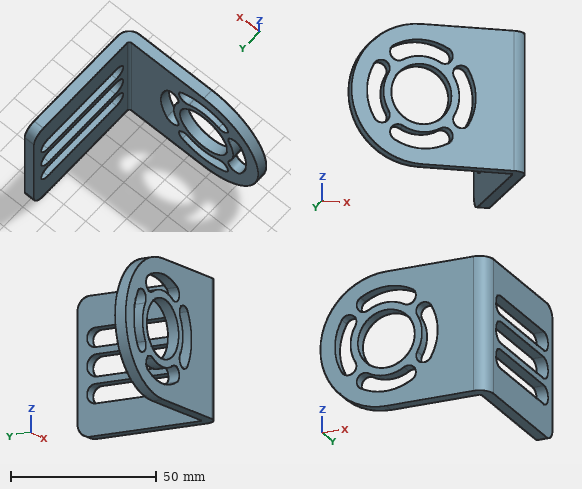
import cadquery as cq
import math

LENGTH = 63.2
DEPTH = 54.2
HEIGHT = 50.0

THICKNESS = 4.3
INNER_BEND_RADIUS = 0.95
OUTER_BEND_RADIUS = INNER_BEND_RADIUS + THICKNESS
FLANGE_CORNER_RADIUS = 5.0

PLATE_END_RADIUS = HEIGHT / 2
BORE_DIAMETER = 21.5
CURVED_SLOT_COUNT = 4
CURVED_SLOT_PATH_RADIUS = 16.5
CURVED_SLOT_WIDTH = 5.9
CURVED_SLOT_HALF_ANGLE = 30.0

FLANGE_SLOT_LENGTH = 43.0
FLANGE_SLOT_END_MARGIN = 3.85
FLANGE_SLOT_PITCH = 10.0
MIDDLE_SLOT_WIDTH = 7.95
OUTER_SLOT_WIDTH = 6.95

FLANGE_OUTER_X = LENGTH - PLATE_END_RADIUS
FLANGE_INNER_X = FLANGE_OUTER_X - THICKNESS


def bent_sheet():
    """L-shaped strip with a rounded bend, extruded over the full height."""
    strip = (
        cq.Workplane("XY")
        .workplane(offset=-HEIGHT / 2)
        .moveTo(-PLATE_END_RADIUS, 0)
        .lineTo(FLANGE_OUTER_X - OUTER_BEND_RADIUS, 0)
        .radiusArc((FLANGE_OUTER_X, OUTER_BEND_RADIUS), -OUTER_BEND_RADIUS)
        .lineTo(FLANGE_OUTER_X, DEPTH)
        .lineTo(FLANGE_INNER_X, DEPTH)
        .lineTo(FLANGE_INNER_X, OUTER_BEND_RADIUS)
        .radiusArc((FLANGE_INNER_X - INNER_BEND_RADIUS, THICKNESS), INNER_BEND_RADIUS)
        .lineTo(-PLATE_END_RADIUS, THICKNESS)
        .close()
        .extrude(HEIGHT)
    )
    return strip.edges("|X and >Y").fillet(FLANGE_CORNER_RADIUS)


def plate_silhouette():
    """Full-depth block whose -X end is the half round of the face plate."""
    return (
        cq.Workplane("XZ")
        .moveTo(0, HEIGHT / 2)
        .lineTo(FLANGE_OUTER_X, HEIGHT / 2)
        .lineTo(FLANGE_OUTER_X, -HEIGHT / 2)
        .lineTo(0, -HEIGHT / 2)
        .threePointArc((-PLATE_END_RADIUS, 0), (0, HEIGHT / 2))
        .close()
        .extrude(-DEPTH)
    )


def polar_point(radius, angle):
    """Point at an angle in degrees around the bore axis."""
    return (radius * math.cos(math.radians(angle)), radius * math.sin(math.radians(angle)))


def curved_slot(middle_angle):
    """Cutter for one round-ended slot that follows a circle around the bore."""
    inner_radius = CURVED_SLOT_PATH_RADIUS - CURVED_SLOT_WIDTH / 2
    outer_radius = CURVED_SLOT_PATH_RADIUS + CURVED_SLOT_WIDTH / 2
    start = middle_angle - CURVED_SLOT_HALF_ANGLE
    end = middle_angle + CURVED_SLOT_HALF_ANGLE
    tip_radius = math.hypot(CURVED_SLOT_PATH_RADIUS, CURVED_SLOT_WIDTH / 2)
    tip_angle = math.degrees(math.atan2(CURVED_SLOT_WIDTH / 2, CURVED_SLOT_PATH_RADIUS))
    return (
        cq.Workplane("XZ")
        .moveTo(*polar_point(outer_radius, start))
        .threePointArc(polar_point(outer_radius, middle_angle), polar_point(outer_radius, end))
        .threePointArc(polar_point(tip_radius, end + tip_angle), polar_point(inner_radius, end))
        .threePointArc(polar_point(inner_radius, middle_angle), polar_point(inner_radius, start))
        .threePointArc(polar_point(tip_radius, start - tip_angle), polar_point(outer_radius, start))
        .close()
        .extrude(-THICKNESS)
    )


def bore():
    """Cutter for the central hole through the face plate."""
    return cq.Workplane("XZ").circle(BORE_DIAMETER / 2).extrude(-THICKNESS)


def flange_slot(width, height):
    """Cutter for one straight slot through the flange, centred at the given Z."""
    middle_y = DEPTH - FLANGE_SLOT_END_MARGIN - FLANGE_SLOT_LENGTH / 2
    return (
        cq.Workplane("YZ")
        .workplane(offset=FLANGE_INNER_X)
        .center(middle_y, height)
        .slot2D(FLANGE_SLOT_LENGTH, width)
        .extrude(THICKNESS)
    )


result = bent_sheet().intersect(plate_silhouette()).cut(bore())

for index in range(CURVED_SLOT_COUNT):
    result = result.cut(curved_slot(index * 360 / CURVED_SLOT_COUNT))

result = result.cut(flange_slot(MIDDLE_SLOT_WIDTH, 0))
for side in (-1, 1):
    result = result.cut(flange_slot(OUTER_SLOT_WIDTH, side * FLANGE_SLOT_PITCH))